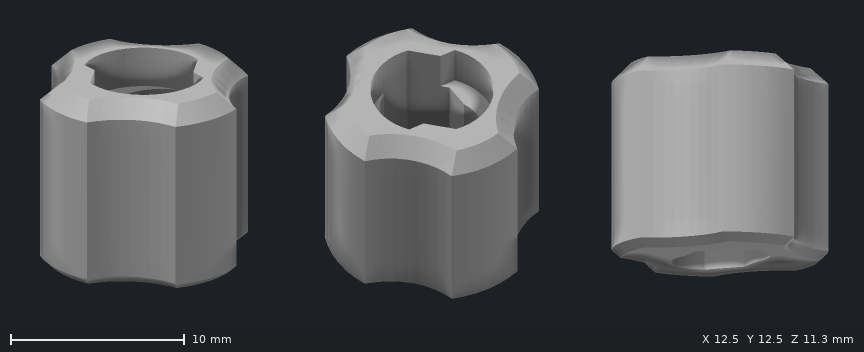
import cadquery as cq
import math

HEIGHT = 11.25
BODY_RADIUS = 6.24
SCOOP_RADIUS = 4.91
SCOOP_CENTER = 6.98
TOP_CHAMFER = 1.0
BOTTOM_CHAMFER = 0.5

BORE_RADIUS = 7.1 / 2
FLAT_DISTANCE = 2.83

RECESS_DEPTH = 2.4
STOP_Y = 2.15

KEY_HALF_WIDTH = 2.25
LOBE_RADIUS = 2.92
LOBE_X = 0.46
LOBE_Y = 0.95


def on_circle(radius, angle, center=(0.0, 0.0)):
    """Point on a circle at an angle in radians."""
    return (center[0] + radius * math.cos(angle), center[1] + radius * math.sin(angle))


def opposite(point):
    """The same point after half a turn about the knob axis."""
    return (-point[0], -point[1])


def angle_from(center, point):
    """Direction from a center to a point, between 0 and a full turn."""
    return math.atan2(point[1] - center[1], point[0] - center[0]) % (2 * math.pi)


def arc_middle(start, end, radius, center=(0.0, 0.0)):
    """Middle point of the counterclockwise arc from start to end."""
    first = angle_from(center, start)
    sweep = (angle_from(center, end) - first) % (2 * math.pi)
    return on_circle(radius, first + sweep / 2, center)


FLAT_SUM = FLAT_DISTANCE * math.sqrt(2)
FLAT_ON_BORE = on_circle(BORE_RADIUS, math.pi / 4 + math.acos(FLAT_DISTANCE / BORE_RADIUS))


def make_body():
    body = cq.Workplane("XY").circle(BODY_RADIUS).extrude(HEIGHT)
    scoops = (
        cq.Workplane("XY")
        .rect(2 * SCOOP_CENTER, 2 * SCOOP_CENTER, forConstruction=True)
        .vertices()
        .circle(SCOOP_RADIUS)
        .extrude(HEIGHT)
    )
    body = body.cut(scoops)
    body = body.faces(">Z").chamfer(TOP_CHAMFER)
    return body.faces("<Z").chamfer(BOTTOM_CHAMFER)


def make_recess():
    """Bore sectors that run from each flat around to the opposite stop face."""
    stop_on_bore = (-math.sqrt(BORE_RADIUS**2 - STOP_Y**2), -STOP_Y)
    stop_on_flat = (STOP_Y - FLAT_SUM, -STOP_Y)
    middle = arc_middle(FLAT_ON_BORE, stop_on_bore, BORE_RADIUS)
    return (
        cq.Workplane("XY", origin=(0, 0, HEIGHT))
        .moveTo(*FLAT_ON_BORE)
        .threePointArc(middle, stop_on_bore)
        .lineTo(*stop_on_flat)
        .lineTo(*opposite(FLAT_ON_BORE))
        .threePointArc(opposite(middle), opposite(stop_on_bore))
        .lineTo(*opposite(stop_on_flat))
        .close()
        .extrude(-RECESS_DEPTH)
    )


def make_passage():
    """Key opening through the full height, with one lobe on each side."""
    lobe_center = (LOBE_X, LOBE_Y)
    center_distance = math.hypot(LOBE_X, LOBE_Y)
    bore_lobe_cosine = (BORE_RADIUS**2 + center_distance**2 - LOBE_RADIUS**2) / (
        2 * BORE_RADIUS * center_distance
    )
    lobe_on_bore = on_circle(BORE_RADIUS, math.atan2(LOBE_Y, LOBE_X) + math.acos(bore_lobe_cosine))
    lobe_on_side = (
        -KEY_HALF_WIDTH,
        LOBE_Y - math.sqrt(LOBE_RADIUS**2 - (KEY_HALF_WIDTH + LOBE_X) ** 2),
    )
    side_on_flat = (-KEY_HALF_WIDTH, KEY_HALF_WIDTH - FLAT_SUM)
    bore_middle = arc_middle(FLAT_ON_BORE, lobe_on_bore, BORE_RADIUS)
    lobe_middle = arc_middle(lobe_on_bore, lobe_on_side, LOBE_RADIUS, lobe_center)
    return (
        cq.Workplane("XY")
        .moveTo(*FLAT_ON_BORE)
        .threePointArc(bore_middle, lobe_on_bore)
        .threePointArc(lobe_middle, lobe_on_side)
        .lineTo(*side_on_flat)
        .lineTo(*opposite(FLAT_ON_BORE))
        .threePointArc(opposite(bore_middle), opposite(lobe_on_bore))
        .threePointArc(opposite(lobe_middle), opposite(lobe_on_side))
        .lineTo(*opposite(side_on_flat))
        .close()
        .extrude(HEIGHT)
    )


result = make_body().cut(make_recess()).cut(make_passage())